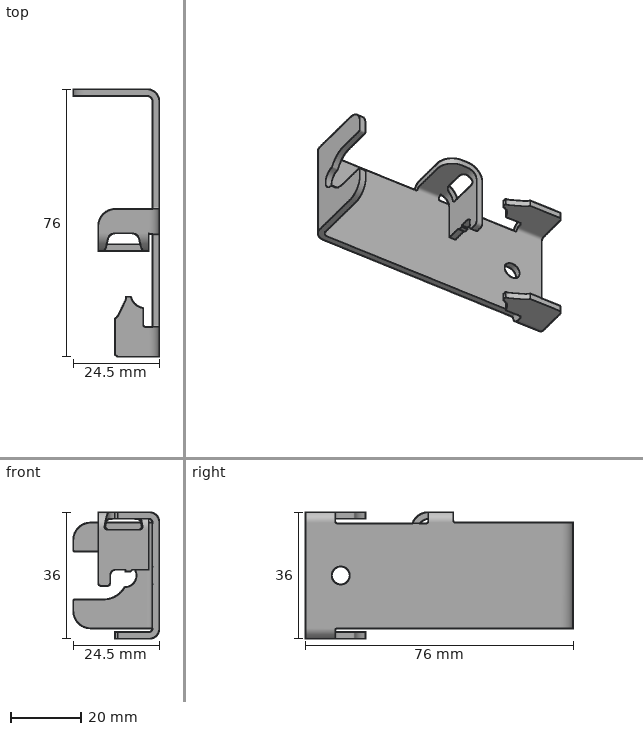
import cadquery as cq
import math

LENGTH = 76.0
DEPTH = 24.5
HEIGHT = 36.0
SHEET = 2.0

FOLD_INNER_R = 1.0
FOLD_OUTER_R = FOLD_INNER_R + SHEET
WEB_TOP = HEIGHT / 2 - FOLD_OUTER_R
RELIEF_DEPTH = 0.2
RELIEF_R = 0.495
HOLE_D = 5.0
HOLE_Y = 10.0

REAR_INNER_R = 1.5
REAR_OUTER_R = REAR_INNER_R + SHEET
REAR_CORNER_R = 5.0
SLOT_R = 6.8
SLOT_END_X = -15.8
SEAT_R = 3.3
SEAT_X = -9.8
SLOT_MOUTH_R = 0.495
SLOT_CUSP_R = 0.495

TAB_LENGTH = 8.5
TAB_LEFT = -12.6
TAB_NECK = -4.55
TAB_NECK_R = 0.7
TAB_TIP_Y = 17.1
TAB_TIP_LEFT = -9.5
TAB_TIP_RIGHT = -8.05
TAB_TIP_R = 0.4
TAB_SIDE_Y = 10.9
TAB_SHOULDER_MIDDLE = (-11.9, 11.5)
TAB_SLOPE_START = (-11.5, 12.2)
TAB_SLOPE_END = (-9.9, 15.6)
TAB_NOSE_MIDDLE = (-9.6, 16.3)
TAB_HOLLOW_MIDDLE = (-6.9, 15.05)
TAB_HOLLOW_END_Y = 13.9
TAB_CORNER_R = 0.4
TAB_CHAMFER_X = 0.75
TAB_CHAMFER_Y = 0.6

LATCH_LEFT = -17.4
LATCH_RIGHT = -FOLD_OUTER_R
LATCH_FRONT = 30.0
LATCH_BACK = 42.0
LATCH_FOLD_FRONT = 34.8
LATCH_INNER_R = 3.05
LATCH_OUTER_R = LATCH_INNER_R + SHEET
LATCH_AXIS_Y = LATCH_FRONT + LATCH_OUTER_R
LATCH_AXIS_Z = HEIGHT / 2 - LATCH_OUTER_R
LATCH_CORNER_R = 5.0
LATCH_EDGE_Z = 1.6
LATCH_EDGE_R = 0.4
LEG_WIDTH = 3.5
LEG_BOTTOM = -3.05
LEG_TIP_R = 1.0
LEG_ROOT_R = 1.5
NUB_LEFT = -9.65
NUB_TIP_RIGHT = -8.2
NUB_RIGHT = -7.75
NUB_DEPTH = 0.5

WINDOW_MIDDLE_WIDTH = 9.7
WINDOW_SIDE_SLOPE = 0.2
WINDOW_TOP_R = 2.1
WINDOW_BOTTOM_R = 0.9

CUT_MARGIN = 0.75


def round_corner(body, point, radius):
    """Fillet the one straight edge whose middle is nearest to the point."""
    return body.edges(cq.selectors.NearestToPointSelector(point)).fillet(radius)


def block(x_range, y_range, z_range):
    """Box between the given limits."""
    sizes = [high - low for low, high in (x_range, y_range, z_range)]
    origin = (x_range[0], y_range[0], z_range[0])
    return cq.Workplane("XY").box(*sizes, centered=False).translate(origin)


def quarter_bend(plane, center, start_angle, inner_r, low, high):
    """Quarter ring of sheet in the plane, extruded from low to high along the plane's normal."""
    outer_r = inner_r + SHEET

    def polar(radius, degrees):
        angle = math.radians(start_angle + degrees)
        return center[0] + radius * math.cos(angle), center[1] + radius * math.sin(angle)

    return (
        cq.Workplane(plane).workplane(offset=low)
        .moveTo(*polar(outer_r, 0))
        .threePointArc(polar(outer_r, 45), polar(outer_r, 90))
        .lineTo(*polar(inner_r, 90))
        .threePointArc(polar(inner_r, 45), polar(inner_r, 0))
        .close()
        .extrude(high - low)
    )


def fold_relief(y_start, y_end, floor_z, rounded_ends):
    """Block that clears the top fold above floor_z, with its listed lower ends rounded."""
    relief = block(
        (-FOLD_OUTER_R - CUT_MARGIN, CUT_MARGIN), (y_start, y_end), (floor_z, HEIGHT / 2 + CUT_MARGIN)
    )
    middle_x = -FOLD_OUTER_R / 2
    for y in rounded_ends:
        relief = round_corner(relief, (middle_x, y, floor_z), RELIEF_R)
    return relief


def make_web():
    """Upright web with its top and bottom folds, which stay only beside the tabs and the latch."""
    web_end = LENGTH - REAR_OUTER_R
    web = block((-SHEET, 0), (0, web_end), (-WEB_TOP, WEB_TOP))
    top_fold = quarter_bend("XZ", (-FOLD_OUTER_R, WEB_TOP), 0, FOLD_INNER_R, -web_end, 0)
    web = web.union(top_fold).union(top_fold.mirror("XY"))

    relief_ends = (TAB_LENGTH, LATCH_FOLD_FRONT)
    between = fold_relief(*relief_ends, WEB_TOP - RELIEF_DEPTH, relief_ends)
    behind_latch = fold_relief(LATCH_BACK, LENGTH, WEB_TOP, (LATCH_BACK,))
    below = fold_relief(TAB_LENGTH, LENGTH, WEB_TOP, (TAB_LENGTH,)).mirror("XY")
    web = web.cut(between).cut(behind_latch).cut(below)

    hole = (
        cq.Workplane("YZ").center(HOLE_Y, 0).circle(HOLE_D / 2)
        .extrude(SHEET + CUT_MARGIN, both=True)
    )
    return web.cut(hole)


def make_rear_flange():
    """Rear bend and flange, with a slot open to the left that ends in a smaller round seat."""
    bend = quarter_bend(
        "XY", (-REAR_OUTER_R, LENGTH - REAR_OUTER_R), 0, REAR_INNER_R, -WEB_TOP, WEB_TOP
    )
    flange = block((-DEPTH, -REAR_OUTER_R), (LENGTH - SHEET, LENGTH), (-WEB_TOP, WEB_TOP))

    middle_y = LENGTH - SHEET / 2
    slot = block((-DEPTH - CUT_MARGIN, SLOT_END_X), (LENGTH - SHEET, LENGTH), (-SLOT_R, SLOT_R))
    for x, radius in ((SLOT_END_X, SLOT_R), (SEAT_X, SEAT_R)):
        rounded = cq.Workplane("XZ", origin=(x, LENGTH, 0)).circle(radius).extrude(SHEET)
        slot = slot.union(rounded)
    flange = flange.cut(slot)

    center_gap = SEAT_X - SLOT_END_X
    cusp_offset = (SLOT_R**2 - SEAT_R**2 + center_gap**2) / (2 * center_gap)
    cusp_x = SLOT_END_X + cusp_offset
    cusp_z = math.sqrt(SLOT_R**2 - cusp_offset**2)
    for side in (-1, 1):
        flange = round_corner(flange, (-DEPTH, middle_y, side * WEB_TOP), REAR_CORNER_R)
        flange = round_corner(flange, (-DEPTH, middle_y, side * SLOT_R), SLOT_MOUTH_R)
        flange = round_corner(flange, (cusp_x, middle_y, side * cusp_z), SLOT_CUSP_R)
    return flange.union(bend)


def make_top_tab():
    """Flat pointed tab beside the top fold; its tip overhangs the web behind a narrow neck."""
    bottom = HEIGHT / 2 - SHEET
    tab = (
        cq.Workplane("XY").workplane(offset=bottom)
        .moveTo(-FOLD_OUTER_R, 0)
        .lineTo(TAB_LEFT + TAB_CHAMFER_X, 0)
        .lineTo(TAB_LEFT, TAB_CHAMFER_Y)
        .lineTo(TAB_LEFT, TAB_SIDE_Y)
        .threePointArc(TAB_SHOULDER_MIDDLE, TAB_SLOPE_START)
        .lineTo(*TAB_SLOPE_END)
        .threePointArc(TAB_NOSE_MIDDLE, (TAB_TIP_LEFT, TAB_TIP_Y))
        .lineTo(TAB_TIP_RIGHT, TAB_TIP_Y)
        .threePointArc(TAB_HOLLOW_MIDDLE, (TAB_NECK, TAB_HOLLOW_END_Y))
        .lineTo(TAB_NECK, TAB_LENGTH)
        .lineTo(-FOLD_OUTER_R, TAB_LENGTH)
        .close()
        .extrude(SHEET)
    )
    middle_z = bottom + SHEET / 2
    rounded_corners = (
        (TAB_TIP_RIGHT, TAB_TIP_Y, TAB_TIP_R),
        (TAB_NECK, TAB_HOLLOW_END_Y, TAB_CORNER_R),
        (TAB_NECK, TAB_LENGTH, TAB_NECK_R),
    )
    for x, y, radius in rounded_corners:
        tab = round_corner(tab, (x, y, middle_z), radius)
    return tab


def make_latch_plate():
    """Hanging plate of the latch, with a leg at its left and a small nub on its lower edge."""
    leg_right = LATCH_LEFT + LEG_WIDTH
    nub_z = LATCH_EDGE_Z - NUB_DEPTH
    outline = [
        (LATCH_LEFT, LATCH_AXIS_Z),
        (LATCH_RIGHT, LATCH_AXIS_Z),
        (LATCH_RIGHT, LATCH_EDGE_Z),
        (NUB_RIGHT, LATCH_EDGE_Z),
        (NUB_TIP_RIGHT, nub_z),
        (NUB_LEFT, nub_z),
        (NUB_LEFT, LATCH_EDGE_Z),
        (leg_right, LATCH_EDGE_Z),
        (leg_right, LEG_BOTTOM),
        (LATCH_LEFT, LEG_BOTTOM),
    ]
    plate = (
        cq.Workplane("XZ", origin=(0, LATCH_FRONT + SHEET, 0)).polyline(outline).close().extrude(SHEET)
    )
    middle_y = LATCH_FRONT + SHEET / 2
    rounded_corners = (
        (LATCH_RIGHT, LATCH_EDGE_Z, LATCH_EDGE_R),
        (leg_right, LATCH_EDGE_Z, LEG_ROOT_R),
        (leg_right, LEG_BOTTOM, LEG_TIP_R),
        (LATCH_LEFT, LEG_BOTTOM, LEG_TIP_R),
    )
    for x, z, radius in rounded_corners:
        plate = round_corner(plate, (x, middle_y, z), radius)
    return plate


def make_bend_window():
    """Tool for the window: fills the bend's quarter between radial walls and is wider at the bottom."""
    middle_x = (LATCH_LEFT + LATCH_RIGHT) / 2
    diagonal = cq.Plane(origin=(middle_x, LATCH_AXIS_Y, LATCH_AXIS_Z), xDir=(1, 0, 0), normal=(0, -1, 1))
    near = LATCH_INNER_R / 2
    far = LATCH_OUTER_R + CUT_MARGIN

    def half_width(height):
        return WINDOW_MIDDLE_WIDTH / 2 - WINDOW_SIDE_SLOPE * height

    def section(work, reach):
        """Trapezoid whose upper and lower edges lie on the two end planes of the bend."""
        return work.polyline([
            (-half_width(-reach), -reach),
            (half_width(-reach), -reach),
            (half_width(reach), reach),
            (-half_width(reach), reach),
        ]).close()

    window = section(cq.Workplane(diagonal).workplane(offset=near), near)
    window = section(window.workplane(offset=far - near), far).loft(ruled=True)

    middle = (near + far) / 2
    for height, radius in ((middle, WINDOW_TOP_R), (-middle, WINDOW_BOTTOM_R)):
        for side in (-1, 1):
            corner = diagonal.toWorldCoords((side * half_width(height), height, middle))
            window = round_corner(window, corner.toTuple(), radius)
    return window


def make_latch():
    """Horizontal arm, bend with its window, and hanging plate."""
    top = HEIGHT / 2
    arm = block((LATCH_LEFT, LATCH_RIGHT), (LATCH_AXIS_Y, LATCH_BACK), (top - SHEET, top))
    arm = round_corner(arm, (LATCH_LEFT, LATCH_BACK, top - SHEET / 2), LATCH_CORNER_R)
    bend = quarter_bend(
        "YZ", (LATCH_AXIS_Y, LATCH_AXIS_Z), 90, LATCH_INNER_R, LATCH_LEFT, LATCH_RIGHT
    )
    return arm.union(bend.cut(make_bend_window())).union(make_latch_plate())


top_tab = make_top_tab()
bottom_tab = top_tab.mirror("XY")
result = make_web().union(make_rear_flange()).union(top_tab).union(bottom_tab).union(make_latch())